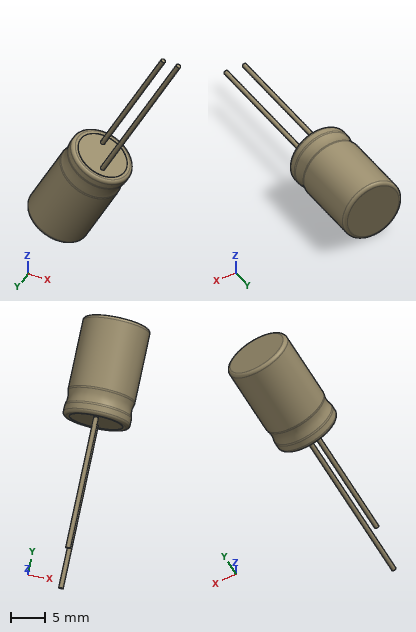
import cadquery as cq
import math

overall_length = 39.9
case_diameter = 10.0
case_length = 15.0
rim_radius = 0.5

groove_center = 2.7
groove_half_width = 1.15
groove_depth = 0.22
lip_radius = 0.8

seal_diameter = 8.0
seal_depth = 0.08

lead_diameter = 0.7
lead_spacing = 5.05
lead_length_difference = 5.0

case_radius = case_diameter / 2
long_lead = overall_length - case_length + seal_depth
short_lead = long_lead - lead_length_difference


def make_case():
    """Revolve the can profile, with Y = 0 at the lead end, about the Y axis."""
    groove_start = groove_center - groove_half_width
    groove_end = groove_center + groove_half_width

    corner_offset = rim_radius * (1 - math.sqrt(0.5))
    corner_radius = case_radius - corner_offset
    flat_radius = case_radius - rim_radius

    profile = (
        cq.Workplane("XY")
        .lineTo(flat_radius, 0)
        .threePointArc((corner_radius, corner_offset), (case_radius, rim_radius))
        .lineTo(case_radius, groove_start)
        .threePointArc((case_radius - groove_depth, groove_center), (case_radius, groove_end))
        .lineTo(case_radius, case_length - rim_radius)
        .threePointArc((corner_radius, case_length - corner_offset), (flat_radius, case_length))
        .lineTo(0, case_length)
        .close()
    )
    can = profile.revolve(360, (0, 0, 0), (0, 1, 0))

    for lip in (groove_start, groove_end):
        near_lip = cq.selectors.BoxSelector(
            (-case_diameter, lip - groove_depth, -case_diameter),
            (case_diameter, lip + groove_depth, case_diameter),
        )
        can = can.edges(near_lip).edges("%CIRCLE").fillet(lip_radius)
    return can


def lengthwise_cylinder(diameter, z, inner_y, length):
    """Cylinder along Y that starts at inner_y and runs toward -Y."""
    plane = cq.Workplane("XZ", origin=(0, inner_y, z))
    return plane.circle(diameter / 2).extrude(length)


result = make_case().cut(lengthwise_cylinder(seal_diameter, 0, seal_depth, seal_depth))

for side, length in ((1, short_lead), (-1, long_lead)):
    lead = lengthwise_cylinder(lead_diameter, side * lead_spacing / 2, seal_depth, length)
    result = result.union(lead)